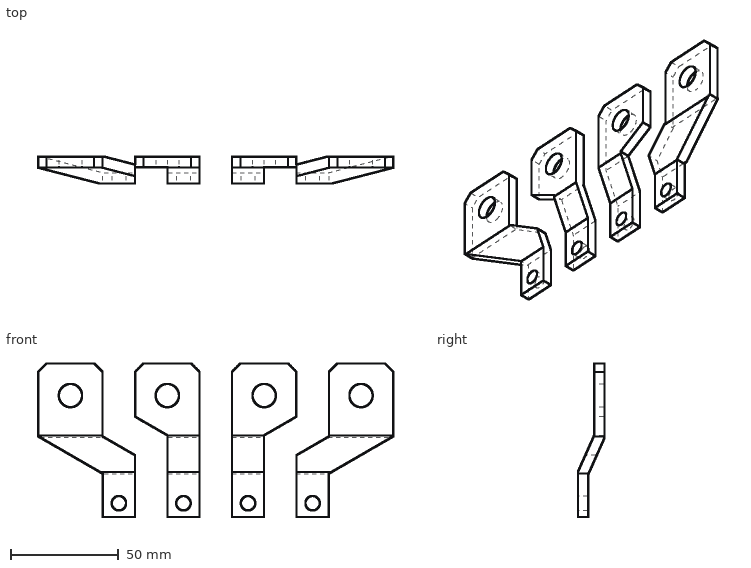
import cadquery as cq
import math

row_length = 165.0
foot_width = row_length / 11
pad_width = 2 * foot_width
height = 71.5
thickness = 5.0
depth = 12.5
corner_chamfer = 4.0
pad_hole_diameter = 10.7
foot_hole_diameter = 6.6
foot_hole_height = 6.5
pad_hole_height = height - pad_width / 2
taper_angle = 30.0

lower_bend = 21.0
upper_bend = 38.0
outer_slope_start = 37.5

offset = depth - thickness
bend_angle = math.atan2(offset, upper_bend - lower_bend)
bend_drop = thickness * math.tan(bend_angle / 2)
taper_drop = foot_width * math.tan(math.radians(taper_angle))

outer_left = -row_length / 2
inner_left = outer_left + 3 * foot_width


def joggled_plate():
    """Side profile of the bent strip, extruded along the left half of the row."""
    profile = [
        (0, 0),
        (0, lower_bend),
        (offset, upper_bend),
        (offset, height),
        (depth, height),
        (depth, upper_bend - bend_drop),
        (thickness, lower_bend - bend_drop),
        (thickness, 0),
    ]
    return cq.Workplane("YZ", origin=(outer_left, 0, 0)).polyline(profile).close().extrude(row_length / 2)


def pad_top(left):
    """Chamfered top corners of a pad, from its left side to its right side."""
    right = left + pad_width
    return [
        (left, height - corner_chamfer),
        (left + corner_chamfer, height),
        (right - corner_chamfer, height),
        (right, height - corner_chamfer),
    ]


def hole(x, z, diameter):
    """Cutter running through the full depth along Y."""
    return cq.Workplane("XZ").center(x, z).circle(diameter / 2).extrude(-depth)


def make_strap(outline, pad_left, foot_left):
    """Trim the joggled plate to a front outline and drill its two holes."""
    blank = cq.Workplane("XZ").polyline(outline).close().extrude(-depth)
    strap = joggled_plate().intersect(blank)
    strap = strap.cut(hole(pad_left + pad_width / 2, pad_hole_height, pad_hole_diameter))
    return strap.cut(hole(foot_left + foot_width / 2, foot_hole_height, foot_hole_diameter))


def make_outer_strap():
    """Strap whose foot lies beside its pad, joined by a slanting web."""
    pad_right = outer_left + pad_width
    foot_right = pad_right + foot_width
    outline = pad_top(outer_left) + [
        (pad_right, outer_slope_start),
        (foot_right, outer_slope_start - taper_drop),
        (foot_right, 0),
        (pad_right, 0),
        (pad_right, outer_slope_start - 2 * taper_drop),
        (outer_left, outer_slope_start),
    ]
    return make_strap(outline, outer_left, pad_right)


def make_inner_strap():
    """Strap whose foot continues straight below the inboard half of its pad."""
    foot_left = inner_left + foot_width
    foot_right = inner_left + pad_width
    outline = pad_top(inner_left) + [
        (foot_right, 0),
        (foot_left, 0),
        (foot_left, upper_bend),
        (inner_left, upper_bend + taper_drop),
    ]
    return make_strap(outline, inner_left, foot_left)


straps = []
for strap in (make_outer_strap(), make_inner_strap()):
    straps.append(strap.val())
    straps.append(strap.mirror("YZ").val())

result = cq.Compound.makeCompound([body.Solids()[0] for body in straps])